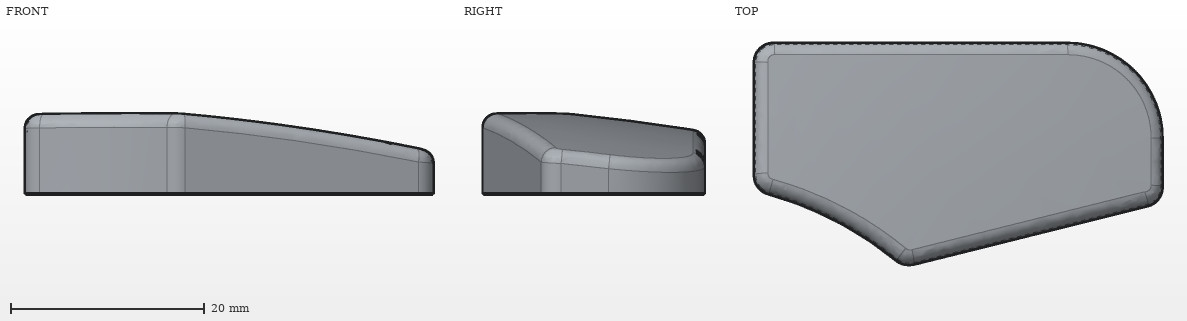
import cadquery as cq

length = 42.4
back_y = 23.05
left_corner_y = 7.7
front_tip = (15.55, -0.2)
notch_mid = (8.3, 4.7)
right_corner_y = 6.5

corner_radius = 2.1
back_right_radius = 10.0
top_fillet = 1.5
base_chamfer = 0.2

crown_radius = 235.75
crown_center_x = -0.7
crown_center_y = -14.85
crown_top_z = 9.62

blank_height = 12.7


def make_blank():
    """Upright prism with one concave side and rounded corners."""
    prism = (
        cq.Workplane("XY")
        .moveTo(0, back_y)
        .lineTo(0, left_corner_y)
        .threePointArc(notch_mid, front_tip)
        .lineTo(length, right_corner_y)
        .lineTo(length, back_y)
        .close()
        .extrude(blank_height)
    )
    back_right = cq.selectors.NearestToPointSelector((length, back_y, blank_height / 2))
    prism = prism.edges(back_right).fillet(back_right_radius)
    sharp_corners = cq.Workplane("XY")
    for x, y in [(0, back_y), (0, left_corner_y), front_tip, (length, right_corner_y)]:
        corner = cq.selectors.NearestToPointSelector((x, y, blank_height / 2))
        sharp_corners = sharp_corners.add(prism.edges("|Z").edges(corner))
    return prism.newObject([prism.val().fillet(corner_radius, sharp_corners.vals())])


def make_crown():
    """Large ball whose upper surface forms the domed top."""
    center = (crown_center_x, crown_center_y, crown_top_z - crown_radius)
    return cq.Workplane("XY").sphere(crown_radius).translate(center)


body = make_blank().intersect(make_crown())
body = body.faces("%SPHERE").edges().fillet(top_fillet)
result = body.faces("<Z").edges().chamfer(base_chamfer)